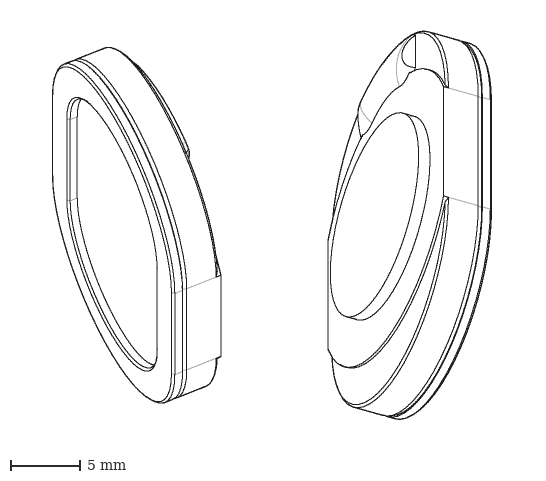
import cadquery as cq
import math

length = 30.0
width = 20.0
end_radius = width / 2
end_center = length / 2 - end_radius
rim_back = 3.7
edge_chamfer = 0.18
cut_margin = 0.3

groove_front = 0.8
groove_back = 1.17
groove_depth = 0.12
groove_land = 0.03

recess_width = 14.9
recess_depth = 0.75
recess_chamfer = 0.18

pad_back = 3.9
pad_radius = math.hypot(end_radius, end_center)
disc_diameter = 15.3
disc_back = 4.8

bump_half_width = 2.13
bump_height = 0.75
bump_path_radius = 7.68
bump_end_angle = 24.0
bump_base_half_length = 4.68
bump_top_half_length = 3.72
dome_radius = (bump_half_width**2 + bump_height**2) / (2 * bump_height)


def stadium(stadium_width, front, back):
    """Upright stadium whose end arcs share the body's end centers."""
    return (
        cq.Workplane("XZ", origin=(0, front, 0))
        .slot2D(2 * end_center + stadium_width, stadium_width, 90)
        .extrude(front - back)
    )


def disc(radius, front, back):
    return cq.Workplane("XZ", origin=(0, front, 0)).circle(radius).extrude(front - back)


def make_body():
    body = stadium(width, 0, pad_back).faces("<Y").chamfer(edge_chamfer)
    ring = stadium(width + 2 * cut_margin, groove_front, groove_back)
    core = stadium(width, groove_front, groove_back)
    core = core.faces("<Y").chamfer(groove_back - groove_front - groove_land, groove_depth)
    return body.cut(ring.cut(core))


def make_rim_cutter():
    """Upper half-round step with a chamfered outer edge, leaving the round pad standing."""
    outside = end_radius + cut_margin
    chamfer_front = rim_back - edge_chamfer
    step = (
        cq.Workplane("XY")
        .moveTo(0, rim_back)
        .lineTo(end_radius - edge_chamfer, rim_back)
        .lineTo(end_radius, chamfer_front)
        .lineTo(outside, chamfer_front)
        .lineTo(outside, disc_back)
        .lineTo(0, disc_back)
        .close()
        .revolve(180, (0, 0, 0), (0, -1, 0))
        .translate((0, 0, end_center))
    )
    return step.cut(disc(pad_radius, 0, disc_back + cut_margin))


def make_recess():
    """Straight-walled pocket with a chamfered lip."""
    pocket = stadium(recess_width - 2 * recess_chamfer, 0, recess_depth)
    lip = (
        cq.Workplane("XZ")
        .slot2D(2 * end_center + recess_width, recess_width, 90)
        .extrude(-recess_chamfer, taper=45)
    )
    return pocket.union(lip)


def make_bump():
    """Dome section swept along an arc, closed by spherical caps that are cut to sloped ends."""
    top = rim_back + bump_height
    sweep = (
        cq.Workplane("XY")
        .moveTo(bump_path_radius - bump_half_width, rim_back)
        .threePointArc((bump_path_radius, top), (bump_path_radius + bump_half_width, rim_back))
        .close()
        .revolve(2 * bump_end_angle, (0, 0, 0), (0, 1, 0))
        .rotate((0, 0, 0), (0, 1, 0), -90 - bump_end_angle)
    )
    cap = (
        cq.Workplane("XY")
        .moveTo(0, rim_back)
        .lineTo(bump_half_width, rim_back)
        .radiusArc((0, top), -dome_radius)
        .close()
        .revolve(360, (0, 0, 0), (0, 1, 0))
        .translate((0, 0, bump_path_radius))
    )
    bump = sweep
    for angle in (-bump_end_angle, bump_end_angle):
        bump = bump.union(cap.rotate((0, 0, 0), (0, 1, 0), angle))
    sloped_ends = (
        cq.Workplane("XY")
        .moveTo(-bump_base_half_length, rim_back)
        .lineTo(bump_base_half_length, rim_back)
        .lineTo(bump_top_half_length, top)
        .lineTo(-bump_top_half_length, top)
        .close()
        .extrude(length)
    )
    return bump.intersect(sloped_ends).translate((0, 0, end_center))


rim_cutter = make_rim_cutter()
result = (
    make_body()
    .cut(rim_cutter)
    .cut(rim_cutter.mirror("XY"))
    .union(disc(disc_diameter / 2, rim_back, disc_back))
    .union(make_bump())
    .cut(make_recess())
)